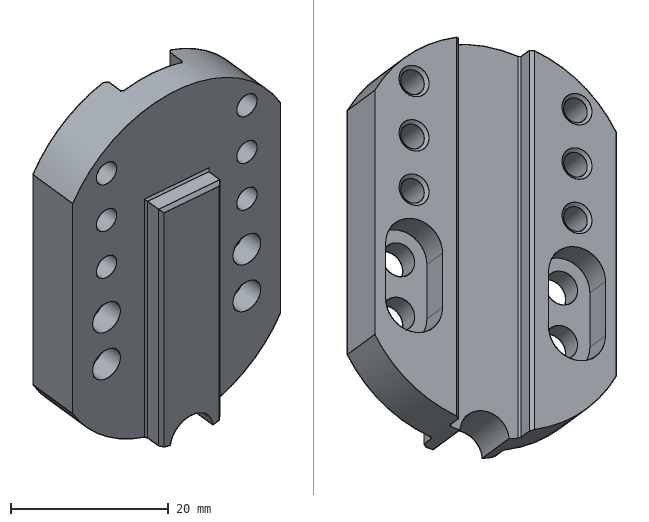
import cadquery as cq
import math

overall_height = 52.6
plate_width = 34.0
plate_thickness = 8.0
end_arc_radius = 19.5

notch_radius = 3.45
notch_rise = notch_radius**2 / (2 * end_arc_radius)
arc_tip = (overall_height + notch_rise) / 2

half_width = plate_width / 2
end_arc_center = arc_tip - end_arc_radius
flat_half_height = end_arc_center + math.sqrt(end_arc_radius**2 - half_width**2)

rail_width = 10.0
groove_depth = 3.2
rail_projection = 3.0
rail_top_setback = 15.0
rail_top_z = arc_tip - rail_top_setback
outer_chamfer = 0.5
root_chamfer = 0.3

column_offset = 11.45
hole_pitch = 7.35
screw_hole_diameter = 3.3
screw_hole_mouth_diameter = 4.2
screw_hole_count = 3
lowest_screw_hole_z = 4.0
bolt_hole_diameter = 4.5
bolt_hole_count = 2
bolt_pair_center_z = -7.65
pocket_width = 8.0
pocket_depth = 4.5


def notched_plate(thickness):
    """Plate outline, notch included, extruded back from the front face at X = 0."""
    outline = (
        cq.Workplane("YZ")
        .moveTo(half_width, -flat_half_height)
        .lineTo(half_width, flat_half_height)
        .threePointArc((0, arc_tip), (-half_width, flat_half_height))
        .lineTo(-half_width, -flat_half_height)
        .threePointArc((0, -arc_tip), (half_width, -flat_half_height))
        .close()
        .extrude(thickness)
    )
    notch = cq.Workplane("YZ").center(0, -arc_tip).circle(notch_radius).extrude(thickness)
    return outline.cut(notch)


def groove():
    """Full-height groove with chamfered mouth and chamfered floor corners."""
    half = rail_width / 2
    right_side = [
        (0, half + outer_chamfer),
        (outer_chamfer, half),
        (groove_depth - root_chamfer, half),
        (groove_depth, half - root_chamfer),
    ]
    left_side = [(x, -y) for x, y in reversed(right_side)]
    profile = cq.Workplane("XY").polyline(right_side + left_side).close()
    return profile.extrude(arc_tip, both=True)


def rail():
    """Back rail with a chamfered rim and a flared root, trimmed to the plate outline."""
    length = 2 * arc_tip
    center_z = rail_top_z - length / 2
    bar = (
        cq.Workplane("YZ", origin=(plate_thickness, 0, center_z))
        .rect(rail_width, length)
        .extrude(rail_projection)
        .faces(">X")
        .chamfer(outer_chamfer)
    )
    root = (
        cq.Workplane("YZ", origin=(plate_thickness, 0, center_z))
        .rect(rail_width + 2 * root_chamfer, length + 2 * root_chamfer)
        .extrude(root_chamfer, taper=45)
    )
    return bar.union(root).intersect(notched_plate(plate_thickness + rail_projection))


def screw_hole(y, z):
    """Through hole with a 45 degree countersunk mouth on the front face."""
    mouth_radius = screw_hole_mouth_diameter / 2
    bore_radius = screw_hole_diameter / 2
    center = cq.Vector(0, y, z)
    axis = cq.Vector(1, 0, 0)
    bore = cq.Solid.makeCylinder(bore_radius, plate_thickness, center, axis)
    mouth = cq.Solid.makeCone(mouth_radius, bore_radius, mouth_radius - bore_radius, center, axis)
    return cq.Workplane(bore).union(cq.Workplane(mouth))


def bolt_pocket(y):
    """Round-ended pocket in the front face with two bolt holes through its floor."""
    base = cq.Workplane("YZ", origin=(0, y, bolt_pair_center_z))
    pocket = base.slot2D(hole_pitch + pocket_width, pocket_width, 90).extrude(pocket_depth)
    bolts = (
        base.rarray(0.5, hole_pitch, 1, bolt_hole_count)
        .circle(bolt_hole_diameter / 2)
        .extrude(plate_thickness)
    )
    return pocket.union(bolts)


result = notched_plate(plate_thickness).cut(groove()).union(rail())
for column_y in (-column_offset, column_offset):
    for row in range(screw_hole_count):
        result = result.cut(screw_hole(column_y, lowest_screw_hole_z + row * hole_pitch))
    result = result.cut(bolt_pocket(column_y))